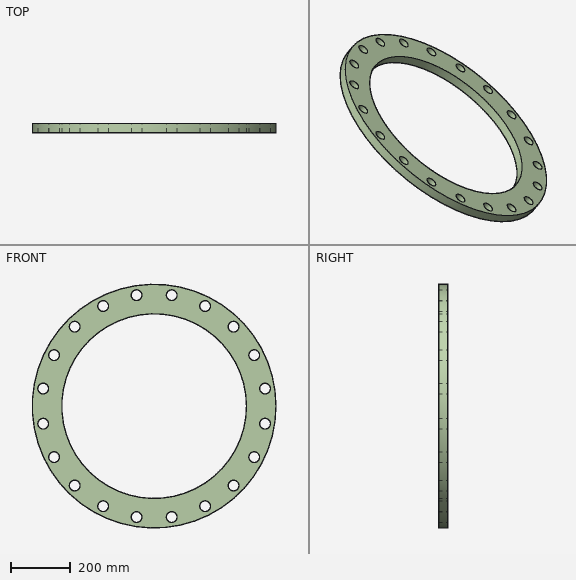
import cadquery as cq

outer_diameter = 813.0
bore_diameter = 614.5
thickness = 31.0
bolt_circle_diameter = 748.5
bolt_hole_diameter = 35.0
bolt_hole_count = 20

first_hole_angle = 360 / bolt_hole_count / 2

ring = (
    cq.Workplane("XZ")
    .circle(outer_diameter / 2)
    .circle(bore_diameter / 2)
    .extrude(thickness)
)

result = (
    ring.faces("<Y")
    .workplane(origin=(0, 0, 0))
    .polarArray(bolt_circle_diameter / 2, first_hole_angle, 360, bolt_hole_count)
    .hole(bolt_hole_diameter)
)